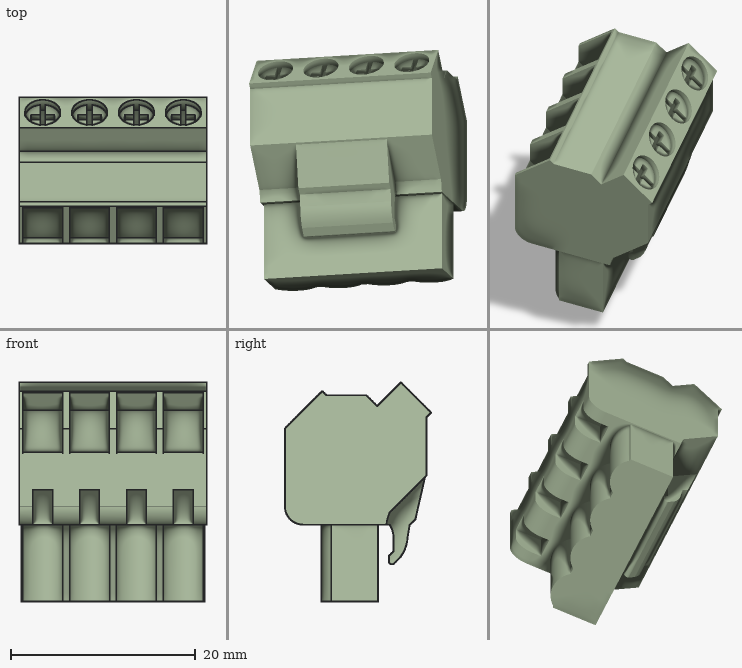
import cadquery as cq
import math

POLES = 4
WIDTH = 20.32
PITCH = WIDTH / POLES
POLE_X = [(i - (POLES - 1) / 2) * PITCH for i in range(POLES)]

TOTAL_HEIGHT = 23.77
TOTAL_DEPTH = 15.88
BODY_BOTTOM = 8.32
BACK_LIP = 0.5
SCREW_FACE_RUN = 3.3
VALLEY_DROP = 2.57
ROOF_Z = 22.37
FRONT_TOP = 18.75
FRONT_SLOPE_RUN = 4.06
FRONT_RADIUS = 2.0
BACK_BOTTOM = 13.67
BACK_SLOPE_RUN = 4.02
HEEL_Y = 11.0
HEEL_BULGE_Y = 11.15
HEEL_BULGE_Z = 9.03

BACK_Y = TOTAL_DEPTH - BACK_LIP
SCREW_TIP_Z = TOTAL_HEIGHT - SCREW_FACE_RUN
SCREW_CREST_Y = TOTAL_DEPTH - SCREW_FACE_RUN
VALLEY_Y = SCREW_CREST_Y - VALLEY_DROP
VALLEY_Z = TOTAL_HEIGHT - VALLEY_DROP
FRONT_CREST_Z = FRONT_TOP + FRONT_SLOPE_RUN

PLUG_WIDTH = 19.92
PLUG_BACK = 10.13
PLUG_FLAT_Y = 5.02
LOBE_FRONT_Y = 3.95
LOBE_WIDTH = 4.33

POCKET_WIDTH = 4.3
POCKET_DEPTH = 2.7
POCKET_MARGIN = 0.2
POCKET_BOTTOM_Z = 16.16

SLOT_WIDTH = 2.15
SLOT_TOP = 12.12
SLOT_DEPTH = 3.0

LATCH_WIDTH = 2 * PITCH
ROOT_Y = 15.21
SHOULDER = (14.17, 8.9)
OUTER_NECK_Y = 13.55
INNER_NECK_Y = 11.36
ARM_INNER_Y = 11.77
ARM_INNER_TOP = 7.18
ARM_INNER_BOTTOM = 5.45
HOOK_STEP = 0.48
HOOK_BOTTOM = 4.45
TIP_MIDDLE = (11.45, 4.06)
TIP_END = (11.8, 4.06)
TIP_SLOPE_RUN = 0.75
INNER_CURVE_MIDDLE = (11.62, 7.77)
OUTER_CURVE_MIDDLE = (13.05, 5.7)
OUTER_CURVE_TOP = (13.33, 7.01)

SCREW_RADIUS = 1.93
HEAD_RECESS = 0.75
SCREW_LENGTH = 2.0
CROSS_DEPTH = 0.8
LONG_SLOT_WIDTH = 0.57
SHORT_SLOT_WIDTH = 0.8
SHORT_SLOT_LENGTH = 2.6


def along_x(outline, width):
    """Extrude a closed YZ outline symmetrically about X = 0."""
    return outline.extrude(width / 2, both=True)


def screw_plane(x, depth):
    """Plane parallel to the screw face, centred on a screw, at a depth below the face."""
    shift = SCREW_FACE_RUN / 2 + depth / math.sqrt(2)
    origin = (x, TOTAL_DEPTH - shift, TOTAL_HEIGHT - shift)
    return cq.Plane(origin=origin, xDir=(1, 0, 0), normal=(0, 1, 1))


def make_block():
    outline = (
        cq.Workplane("YZ")
        .moveTo(0, BODY_BOTTOM + FRONT_RADIUS)
        .lineTo(0, FRONT_TOP)
        .lineTo(FRONT_SLOPE_RUN, FRONT_CREST_Z)
        .lineTo(FRONT_SLOPE_RUN + FRONT_CREST_Z - ROOF_Z, ROOF_Z)
        .lineTo(VALLEY_Y - (ROOF_Z - VALLEY_Z), ROOF_Z)
        .lineTo(VALLEY_Y, VALLEY_Z)
        .lineTo(SCREW_CREST_Y, TOTAL_HEIGHT)
        .lineTo(TOTAL_DEPTH, SCREW_TIP_Z)
        .lineTo(BACK_Y, SCREW_TIP_Z - BACK_LIP)
        .lineTo(BACK_Y, BACK_BOTTOM)
        .lineTo(BACK_Y - BACK_SLOPE_RUN, BACK_BOTTOM - BACK_SLOPE_RUN)
        .threePointArc((HEEL_BULGE_Y, HEEL_BULGE_Z), (HEEL_Y, BODY_BOTTOM))
        .lineTo(FRONT_RADIUS, BODY_BOTTOM)
        .radiusArc((0, BODY_BOTTOM + FRONT_RADIUS), FRONT_RADIUS)
        .close()
    )
    return along_x(outline, WIDTH)


def make_plug():
    outline = cq.Workplane("XY").moveTo(-PLUG_WIDTH / 2, PLUG_FLAT_Y)
    for x in POLE_X:
        outline = (
            outline.lineTo(x - LOBE_WIDTH / 2, PLUG_FLAT_Y)
            .threePointArc((x, LOBE_FRONT_Y), (x + LOBE_WIDTH / 2, PLUG_FLAT_Y))
        )
    return (
        outline.lineTo(PLUG_WIDTH / 2, PLUG_FLAT_Y)
        .lineTo(PLUG_WIDTH / 2, PLUG_BACK)
        .lineTo(-PLUG_WIDTH / 2, PLUG_BACK)
        .close()
        .extrude(BODY_BOTTOM)
    )


def make_latch():
    hook_y = ARM_INNER_Y - HOOK_STEP
    outline = (
        cq.Workplane("YZ")
        .moveTo(HEEL_Y, BODY_BOTTOM)
        .lineTo(INNER_NECK_Y, BODY_BOTTOM)
        .threePointArc(INNER_CURVE_MIDDLE, (ARM_INNER_Y, ARM_INNER_TOP))
        .lineTo(ARM_INNER_Y, ARM_INNER_BOTTOM)
        .lineTo(hook_y, ARM_INNER_BOTTOM - HOOK_STEP)
        .lineTo(hook_y, HOOK_BOTTOM)
        .threePointArc(TIP_MIDDLE, TIP_END)
        .line(TIP_SLOPE_RUN, TIP_SLOPE_RUN)
        .threePointArc(OUTER_CURVE_MIDDLE, OUTER_CURVE_TOP)
        .lineTo(OUTER_NECK_Y, BODY_BOTTOM)
        .lineTo(*SHOULDER)
        .lineTo(ROOT_Y, BACK_BOTTOM - (BACK_Y - ROOT_Y))
        .lineTo(BACK_Y - BACK_SLOPE_RUN, BACK_BOTTOM - BACK_SLOPE_RUN)
        .threePointArc((HEEL_BULGE_Y, HEEL_BULGE_Z), (HEEL_Y, BODY_BOTTOM))
        .close()
    )
    return along_x(outline, LATCH_WIDTH)


def make_pocket(x):
    edge_y = FRONT_SLOPE_RUN - POCKET_MARGIN
    edge_z = FRONT_CREST_Z - POCKET_MARGIN
    length = (edge_y + edge_z - POCKET_BOTTOM_Z) / math.sqrt(2)
    plane = cq.Plane(origin=(x, edge_y, edge_z), xDir=(1, 0, 0), normal=(0, -1, 1))
    return (
        cq.Workplane(plane)
        .center(0, -length / 2)
        .rect(POCKET_WIDTH, length)
        .extrude(POCKET_DEPTH, both=True)
    )


def make_front_slot(x):
    height = SLOT_TOP - BODY_BOTTOM
    slot = cq.Workplane("XY").box(SLOT_WIDTH, SLOT_DEPTH, height, centered=(True, False, False))
    return slot.translate((x, 0, BODY_BOTTOM))


def make_screw_hole(x):
    bottom = screw_plane(x, HEAD_RECESS + SCREW_LENGTH)
    return cq.Workplane(bottom).circle(SCREW_RADIUS).extrude(HEAD_RECESS + SCREW_LENGTH)


def make_housing():
    block = make_block()
    for x in POLE_X:
        block = block.cut(make_pocket(x)).cut(make_front_slot(x)).cut(make_screw_hole(x))
    return block.union(make_plug()).union(make_latch())


def make_screw(x):
    head = cq.Workplane(screw_plane(x, HEAD_RECESS))
    long_slot = head.rect(LONG_SLOT_WIDTH, 2 * SCREW_RADIUS).extrude(-CROSS_DEPTH)
    short_slot = (
        head.rect(SHORT_SLOT_LENGTH, SHORT_SLOT_WIDTH)
        .extrude(-CROSS_DEPTH)
        .intersect(head.circle(SHORT_SLOT_LENGTH / 2).extrude(-CROSS_DEPTH))
    )
    return head.circle(SCREW_RADIUS).extrude(-SCREW_LENGTH).cut(long_slot).cut(short_slot)


housing = make_housing()
screws = [make_screw(x) for x in POLE_X]

result = cq.Compound.makeCompound([housing.val(), *[screw.val() for screw in screws]])